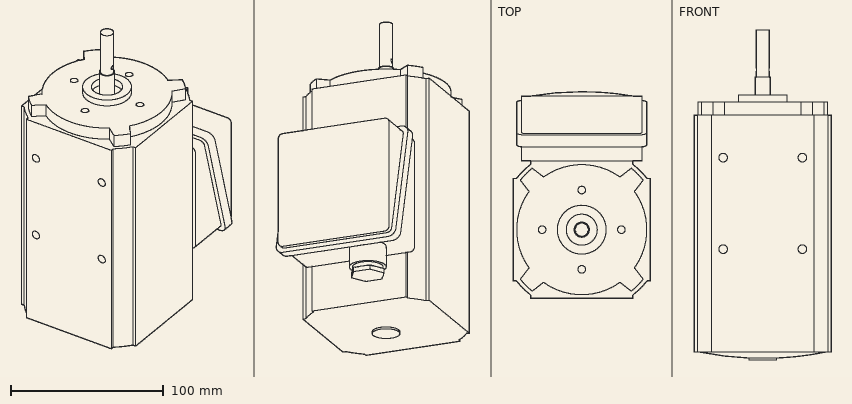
import cadquery as cq
import math

body_bottom_z = 5.2
body_top_z = 160.6
flange_top_z = 169.3
boss_top_z = 173.8
shaft_shoulder_z = 185.5
shaft_tip_z = 216.5

body_width = 90.0
bar_width = 67.1
corner_square_width = 85.7
corner_radius = math.hypot(bar_width / 2, corner_square_width / 2)

flange_radius = 42.7
lobe_tip_radius = 51.7
lobe_tip_width = 11.0
lobe_root_width = 13.5
flange_hole_offset = 26
flange_hole_diameter = 5.0
flange_hole_depth = 8.7

boss_radius = 16.0
boss_bore_radius = 10.2
boss_bore_depth = 5.0
shaft_radius = 4.3
shaft_shoulder_radius = 5.0
pin_hole_diameter = 2.5
pin_hole_z = 190.3

cap_dome_radius = 41.1
cap_dome_height = 4.1
cap_disc_radius = 9.0

side_hole_spacing_x = 52
side_hole_upper_z = 132.7
side_hole_lower_z = 72.7
side_hole_diameter = 5.6
side_hole_depth = 8.7

box_width = 79.0
box_center_z = 75.8
box_corner_radius = 3.2
box_start_y = body_width / 2
box_end_y = 87.5
lid_dome_radius = 34.6
lid_dome_height = 3.0

band_width = 85.3
band_corner_radius = 5.5
band_length_y = 8.0
band_center_y = 69.5
band_slope = 15

gland_x = -14.7
gland_y = 65
gland_radius = 12.1
gland_collar_z = 22.0
gland_nut_width = 20.1
gland_nut_top_z = 19.3
gland_bottom_z = 16.2


def cylinder(radius, bottom_z, top_z):
    """Upright cylinder on the motor axis."""
    return cq.Workplane("XY").workplane(offset=bottom_z).circle(radius).extrude(top_z - bottom_z)


def dome(base_radius, height):
    """Shallow spherical cap that rises along Z from a base circle at the origin."""
    sphere_radius = (base_radius**2 + height**2) / (2 * height)
    half_angle = math.asin(base_radius / sphere_radius) / 2
    middle_point = (
        sphere_radius * math.sin(half_angle),
        height - sphere_radius * (1 - math.cos(half_angle)),
    )
    profile = (
        cq.Workplane("XZ")
        .lineTo(base_radius, 0)
        .threePointArc(middle_point, (0, height))
        .close()
    )
    return profile.revolve(360, (0, 0, 0), (0, 1, 0))


def rounded_block(width, edge_radius, start_y, end_y):
    """Square block along Y, centred on the box, with its four long edges rounded."""
    length = end_y - start_y
    return (
        cq.Workplane("XY")
        .box(width, length, width)
        .edges("|Y")
        .fillet(edge_radius)
        .translate((0, start_y + length / 2, box_center_z))
    )


def motor_body():
    base = cq.Workplane("XY").workplane(offset=body_bottom_z)
    height = body_top_z - body_bottom_z
    wide_bar = base.rect(body_width, bar_width).extrude(height)
    deep_bar = base.rect(bar_width, body_width).extrude(height)
    corners = cylinder(corner_radius, body_bottom_z, body_top_z).intersect(
        base.rect(corner_square_width, corner_square_width).extrude(height)
    )
    return wide_bar.union(deep_bar).union(corners)


def end_cap():
    cap = dome(cap_dome_radius, cap_dome_height).rotate((0, 0, 0), (1, 0, 0), 180)
    return cap.translate((0, 0, body_bottom_z)).union(cylinder(cap_disc_radius, 0, body_bottom_z))


def flange_lobe(angle):
    """Lobe that narrows from the flange rim to a round tip, turned to the given angle."""
    half_tip = lobe_tip_width / 2
    half_root = lobe_root_width / 2
    root_x = math.sqrt(flange_radius**2 - half_root**2)
    tip_x = math.sqrt(lobe_tip_radius**2 - half_tip**2)
    lobe = (
        cq.Workplane("XY")
        .workplane(offset=body_top_z)
        .moveTo(0, -half_root)
        .lineTo(root_x, -half_root)
        .lineTo(tip_x, -half_tip)
        .threePointArc((lobe_tip_radius, 0), (tip_x, half_tip))
        .lineTo(root_x, half_root)
        .lineTo(0, half_root)
        .close()
        .extrude(flange_top_z - body_top_z)
    )
    return lobe.rotate((0, 0, 0), (0, 0, 1), angle)


def flange():
    plate = cylinder(flange_radius, body_top_z, flange_top_z)
    for angle in (45, 135, 225, 315):
        plate = plate.union(flange_lobe(angle))
    holes = (
        cq.Workplane("XY")
        .workplane(offset=flange_top_z)
        .polarArray(flange_hole_offset, 0, 360, 4)
        .circle(flange_hole_diameter / 2)
        .extrude(-flange_hole_depth)
    )
    return plate.cut(holes)


def boss_and_shaft(motor):
    """Add the bored boss and the stepped shaft, which stands on the floor of the bore."""
    bore_floor_z = boss_top_z - boss_bore_depth
    shaft = cylinder(shaft_shoulder_radius, bore_floor_z, shaft_shoulder_z)
    shaft = shaft.union(cylinder(shaft_radius, bore_floor_z, shaft_tip_z))
    pin_hole = (
        cq.Workplane("YZ")
        .center(0, pin_hole_z)
        .circle(pin_hole_diameter / 2)
        .extrude(shaft_shoulder_radius, both=True)
    )
    return (
        motor.union(cylinder(boss_radius, flange_top_z, boss_top_z))
        .cut(cylinder(boss_bore_radius, bore_floor_z, boss_top_z))
        .union(shaft.cut(pin_hole))
    )


def side_holes():
    half_spacing = side_hole_spacing_x / 2
    positions = [
        (x, z)
        for x in (-half_spacing, half_spacing)
        for z in (side_hole_lower_z, side_hole_upper_z)
    ]
    return (
        cq.Workplane("XZ", origin=(0, -body_width / 2, 0))
        .pushPoints(positions)
        .circle(side_hole_diameter / 2)
        .extrude(-side_hole_depth)
    )


def seal_band():
    """Rounded block cut down to the slab between two parallel sloping planes."""
    half_height = band_width / 2
    shift_y = half_height * math.tan(math.radians(band_slope))
    half_length = band_length_y / 2
    upper_y = band_center_y - shift_y
    lower_y = band_center_y + shift_y
    top_z = box_center_z + half_height
    bottom_z = box_center_z - half_height
    slab = (
        cq.Workplane("YZ")
        .polyline(
            [
                (upper_y - half_length, top_z),
                (upper_y + half_length, top_z),
                (lower_y + half_length, bottom_z),
                (lower_y - half_length, bottom_z),
            ]
        )
        .close()
        .extrude(half_height, both=True)
    )
    block = rounded_block(band_width, band_corner_radius, upper_y - half_length, lower_y + half_length)
    return block.intersect(slab)


def cable_gland():
    sleeve = cylinder(gland_radius, gland_collar_z, box_center_z - box_width / 2 + box_corner_radius)
    collar = cylinder(gland_nut_width / 2, gland_nut_top_z, gland_collar_z)
    nut_corner_diameter = gland_nut_width / math.cos(math.radians(30))
    nut = (
        cq.Workplane("XY")
        .workplane(offset=gland_bottom_z)
        .polygon(6, nut_corner_diameter)
        .extrude(gland_nut_top_z - gland_bottom_z)
    )
    return sleeve.union(collar).union(nut).translate((gland_x, gland_y, 0))


def terminal_box():
    lid_dome = dome(lid_dome_radius, lid_dome_height).rotate((0, 0, 0), (1, 0, 0), -90)
    return (
        rounded_block(box_width, box_corner_radius, box_start_y, box_end_y)
        .union(lid_dome.translate((0, box_end_y, box_center_z)))
        .union(seal_band())
        .union(cable_gland())
    )


motor = motor_body().union(end_cap()).union(flange())
motor = boss_and_shaft(motor).cut(side_holes())
result = motor.union(terminal_box())